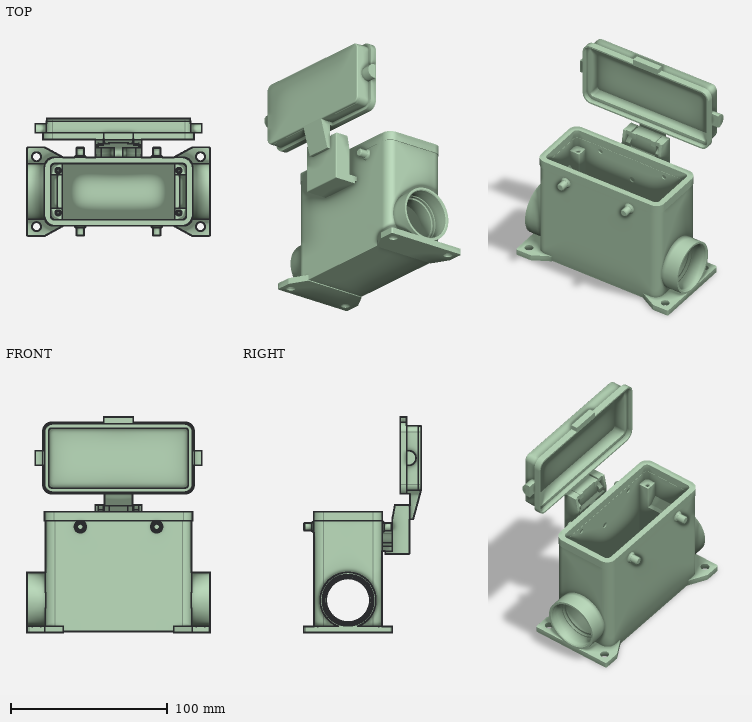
import cadquery as cq
import math

TOTAL_LENGTH = 117.0
TOTAL_DEPTH = 75.2
TOTAL_HEIGHT = 137.8
SIDES = (-1, 1)

RIM_LENGTH = 94.5
RIM_DEPTH = 43.8
RIM_HEIGHT = 5.9
RIM_CORNER = 6.0
RIM_OVERHANG_X = 0.5
RIM_OVERHANG_Y = 0.07
BODY_LENGTH = RIM_LENGTH - 2 * RIM_OVERHANG_X
BODY_DEPTH = RIM_DEPTH - 2 * RIM_OVERHANG_Y
BODY_CORNER = 5.9
BODY_BOTTOM = 0.5
BODY_TOP = 77.3
CAVITY_LENGTH = 86.6
CAVITY_DEPTH = 36.1
CAVITY_CORNER = 2.8
CAVITY_STEP = 0.1
FLOOR_TOP = 4.0

POST_WIDTH = 7.5
POST_DEPTH = 7.3
POST_TOP = 64.7
POST_HOLE_X = 38.6
POST_HOLE_Y = 13.5
POST_HOLE_DIAMETER = 2.2
POST_HOLE_DEPTH = 13.8
POST_COUNTERSINK_DIAMETER = 3.6
POST_EDGE_RADIUS = 0.7
LEDGE_WALL_TOP = 53.6
LEDGE_TOP = 48.9
LEDGE_SLOPE_WIDTH = 4.3

TUBE_HEIGHT = 20.7
TUBE_DIAMETER = 35.5
MOUTH_DIAMETER = 31.7
MOUTH_DEPTH = 10.7
MOUTH_CHAMFER = 0.5
NECK_DIAMETER = 30.3
NECK_DEPTH = MOUTH_DEPTH + 1.9
BORE_DIAMETER = 27.8

FOOT_THICKNESS = 4.0
FOOT_DEPTH = 56.8
FOOT_STRAIGHT = 11.3
FOOT_REACH = 23.3
FOOT_CORNER = 1.1
FOOT_HOLE_X = 52.3
FOOT_HOLE_Y = 22.3
FOOT_HOLE_DIAMETER = 5.6

PIN_X = 24.4
PIN_Z = 67.5
PIN_DIAMETER = 5.0
PIN_END = 28.2
PIN_CHAMFER = 0.5
COLLAR_DIAMETER = 7.5
COLLAR_TIP_DIAMETER = 5.5
COLLAR_LENGTH = 1.2
PIN_SEAT_DIAMETER = 3.3
SEAT_DEPTH = 0.8
RIVET_Z = 55.2
RIVET_SEAT_DIAMETER = 3.9

PEDESTAL_HALF_LENGTH = 14.7
PEDESTAL_BOTTOM = 52.1
PEDESTAL_EDGE_Z = 55.2
SHOULDER_X = 11.0
SHOULDER_Z = 57.5
SHOULDER_RADIUS = 5.9
POST_CAP_HALF_LENGTH = 2.8
POST_CAP_Z = 69.8
BRACKET_LENGTH = 29.9
BRACKET_FRONT = 28.1
BRACKET_BACK = 39.3
BRACKET_BOTTOM = 50.1
BRACKET_TOP = 81.5
BRACKET_TAPER = 1.8
BRACKET_TAPER_Z = 72.2
BRACKET_EDGE_RADIUS = 0.5
LIP_FRONT = 23.7
CHEEK_THICKNESS = 1.9
HINGE_HALF_LENGTH = 9.0
HINGE_GAP = 0.8
HINGE_TOP = 81.0
SLIT_BACK = 37.9
ROOF_FRONT = 30.6
HINGE_FACE = 31.3
LUG_WIDTH = 2.9
LUG_HEIGHT = 4.1
LUG_DEPTH = 0.7
POCKET_BACK = 34.5
POCKET_STEP_Y = 29.6
POCKET_FLOOR_FRONT = 73.0
POCKET_FLOOR_BACK = 76.5
POCKET_TOP = 78.5

LID_BACK = TOTAL_DEPTH - FOOT_DEPTH / 2
LID_LENGTH = 96.5
LID_BOTTOM = 88.6
LID_TOP = 134.3
LID_CORNER = 6.0
LID_FRONT = 33.2
FLANGE_THICKNESS = 4.3
FLANGE_STEP = 2.2
LID_PAN_FRONT = LID_FRONT + FLANGE_THICKNESS
BACK_PLATE_THICKNESS = 1.9
BACK_PLATE_STEP = 0.1
LID_EDGE_RADIUS = 0.7
REBATE_MARGIN = 1.1
REBATE_DEPTH = 3.3
LID_WALL = 3.7
LID_CAVITY_CORNER = 2.0
LID_PLATE = 2.2
TAB_LENGTH = 19.0
EAR_SPAN = 106.3
EAR_RADIUS = 4.7
EAR_Y = 38.7
ARM_BOTTOM = 72.3
ARM_BOTTOM_BACK = 41.6
ARM_FRONT = 39.5
ARM_OVERLAP = 1.4


def rounded_block(length, depth, bottom, top, corner):
    """Upright block centred on the Z axis, with rounded vertical edges."""
    block = cq.Workplane("XY").workplane(offset=bottom).rect(length, depth).extrude(top - bottom)
    return block.edges("|Z").fillet(corner)


def span_block(x_range, y_range, z_range):
    """Plain block given by its limits along each axis."""
    sizes = [high - low for low, high in (x_range, y_range, z_range)]
    corner = (x_range[0], y_range[0], z_range[0])
    return cq.Workplane("XY").box(*sizes, centered=False).translate(corner)


def x_prism(points, half_length):
    """Outline of (Y, Z) points, extruded symmetrically about X = 0."""
    return cq.Workplane("YZ").polyline(points).close().extrude(half_length, both=True)


def both_sides(shape):
    """The shape together with its mirror image in X."""
    return shape.union(shape.mirror("YZ"))


def make_shell():
    body = rounded_block(BODY_LENGTH, BODY_DEPTH, BODY_BOTTOM, BODY_TOP - RIM_HEIGHT, BODY_CORNER)
    rim = rounded_block(RIM_LENGTH, RIM_DEPTH, BODY_TOP - RIM_HEIGHT, BODY_TOP, RIM_CORNER)
    return body.union(rim)


def make_cavity():
    step_z = BODY_TOP - RIM_HEIGHT
    cavity = rounded_block(CAVITY_LENGTH, CAVITY_DEPTH, step_z, BODY_TOP, CAVITY_CORNER)
    lower_cavity = rounded_block(CAVITY_LENGTH - 2 * CAVITY_STEP, CAVITY_DEPTH - 2 * CAVITY_STEP,
                                 FLOOR_TOP, step_z, CAVITY_CORNER - CAVITY_STEP)
    cavity = cavity.union(lower_cavity)
    wall = CAVITY_LENGTH / 2
    inner = wall - POST_WIDTH
    slope_end = wall - LEDGE_SLOPE_WIDTH
    ledge = (cq.Workplane("XZ")
             .polyline([(inner, FLOOR_TOP), (inner, LEDGE_TOP), (slope_end, LEDGE_TOP),
                        (wall, LEDGE_WALL_TOP), (wall, FLOOR_TOP)])
             .close().extrude(CAVITY_DEPTH / 2, both=True))
    cavity = cavity.cut(both_sides(ledge))
    for side in SIDES:
        post = span_block((inner, wall), (CAVITY_DEPTH / 2 - POST_DEPTH, CAVITY_DEPTH / 2),
                          (FLOOR_TOP, POST_TOP))
        post = post.edges("|Z and <X and <Y").fillet(POST_EDGE_RADIUS)
        if side < 0:
            post = post.mirror("XZ")
        cavity = cavity.cut(both_sides(post))
    return cavity


def make_post_holes():
    centres = [(sx * POST_HOLE_X, sy * POST_HOLE_Y) for sx in SIDES for sy in SIDES]
    plane = cq.Workplane("XY").workplane(offset=POST_TOP)
    holes = plane.pushPoints(centres).circle(POST_HOLE_DIAMETER / 2).extrude(-POST_HOLE_DEPTH)
    hole_radius = POST_HOLE_DIAMETER / 2
    sink_radius = POST_COUNTERSINK_DIAMETER / 2
    cone = cq.Solid.makeCone(sink_radius, hole_radius, sink_radius - hole_radius,
                             dir=cq.Vector(0, 0, -1))
    sinks = plane.pushPoints(centres).eachpoint(cone, useLocalCoordinates=True)
    return holes.union(sinks)


def make_tubes():
    start = CAVITY_LENGTH / 2
    tube = (cq.Workplane("YZ", origin=(start, 0, TUBE_HEIGHT))
            .circle(TUBE_DIAMETER / 2).extrude(TOTAL_LENGTH / 2 - start))
    return both_sides(tube)


def make_bores():
    end = TOTAL_LENGTH / 2
    bore_radius = BORE_DIAMETER / 2
    neck_radius = NECK_DIAMETER / 2
    mouth_radius = MOUTH_DIAMETER / 2
    start = CAVITY_LENGTH / 2 - POST_WIDTH
    profile = [
        (start, 0), (start, bore_radius),
        (end - NECK_DEPTH, bore_radius), (end - NECK_DEPTH, neck_radius),
        (end - MOUTH_DEPTH, neck_radius), (end - MOUTH_DEPTH, mouth_radius),
        (end - MOUTH_CHAMFER, mouth_radius), (end, mouth_radius + MOUTH_CHAMFER), (end, 0),
    ]
    bore = (cq.Workplane("XY").polyline(profile).close()
            .revolve(360, (0, 0, 0), (1, 0, 0)).translate((0, 0, TUBE_HEIGHT)))
    return both_sides(bore)


def make_feet():
    end = TOTAL_LENGTH / 2
    edge = FOOT_DEPTH / 2
    wall = BODY_DEPTH / 2
    outline = [
        (end, -edge), (end, edge), (end - FOOT_STRAIGHT, edge), (end - FOOT_REACH, wall),
        (end - FOOT_REACH, -wall), (end - FOOT_STRAIGHT, -edge),
    ]
    foot = cq.Workplane("XY").polyline(outline).close().extrude(FOOT_THICKNESS)
    foot = foot.edges("|Z and >X").fillet(FOOT_CORNER)
    holes = (cq.Workplane("XY").pushPoints([(FOOT_HOLE_X, y * FOOT_HOLE_Y) for y in SIDES])
             .circle(FOOT_HOLE_DIAMETER / 2).extrude(FOOT_THICKNESS))
    return both_sides(foot.cut(holes))


def make_pins():
    wall = BODY_DEPTH / 2
    length = PIN_END - wall
    profile = [
        (0, 0), (COLLAR_DIAMETER / 2, 0), (COLLAR_TIP_DIAMETER / 2, COLLAR_LENGTH),
        (PIN_DIAMETER / 2, COLLAR_LENGTH), (PIN_DIAMETER / 2, length - PIN_CHAMFER),
        (PIN_DIAMETER / 2 - PIN_CHAMFER, length), (0, length),
    ]
    pin = (cq.Workplane("XY").polyline(profile).close().revolve(360, (0, 0, 0), (0, 1, 0))
           .translate((PIN_X, wall, PIN_Z)))
    pins = both_sides(pin)
    return pins.union(pins.mirror("XZ"))


def make_seats():
    """Shallow round recesses in the cavity walls behind the pins and the hinge rivet."""
    pin_points = [(-PIN_X, PIN_Z), (PIN_X, PIN_Z)]
    length = CAVITY_DEPTH / 2 + SEAT_DEPTH
    plane = cq.Workplane("XZ")
    pin_seats = (plane.pushPoints(pin_points).circle(PIN_SEAT_DIAMETER / 2)
                 .extrude(length, both=True))
    rivet_seat = plane.center(0, RIVET_Z).circle(RIVET_SEAT_DIAMETER / 2).extrude(-length)
    return pin_seats.union(rivet_seat)


def make_pedestal():
    steep_x = SHOULDER_X - SHOULDER_RADIUS
    steep_z = SHOULDER_Z + SHOULDER_RADIUS
    arc_drop = SHOULDER_RADIUS / math.sqrt(2)
    arc_middle = (SHOULDER_X - arc_drop, steep_z - arc_drop)
    start = BODY_DEPTH / 2
    half = (cq.Workplane("XZ", origin=(0, start, 0))
            .moveTo(0, PEDESTAL_BOTTOM)
            .lineTo(PEDESTAL_HALF_LENGTH, PEDESTAL_BOTTOM)
            .lineTo(PEDESTAL_HALF_LENGTH, PEDESTAL_EDGE_Z)
            .lineTo(SHOULDER_X, SHOULDER_Z)
            .threePointArc(arc_middle, (steep_x, steep_z))
            .lineTo(POST_CAP_HALF_LENGTH, POST_CAP_Z)
            .lineTo(0, POST_CAP_Z)
            .close().extrude(start - HINGE_FACE))
    return both_sides(half)


def make_bracket():
    outline = [
        (LIP_FRONT, BRACKET_BOTTOM), (BRACKET_BACK, BRACKET_BOTTOM), (BRACKET_BACK, BRACKET_TOP),
        (BRACKET_FRONT + BRACKET_TAPER, BRACKET_TOP), (BRACKET_FRONT, BRACKET_TAPER_Z),
        (BRACKET_FRONT, PEDESTAL_BOTTOM), (LIP_FRONT, PEDESTAL_BOTTOM),
    ]
    bracket = x_prism(outline, BRACKET_LENGTH / 2)
    bracket = bracket.faces(">Y").edges().fillet(BRACKET_EDGE_RADIUS)

    centre = span_block((-HINGE_HALF_LENGTH, HINGE_HALF_LENGTH), (BRACKET_FRONT, HINGE_FACE),
                        (POST_CAP_Z, BRACKET_TOP))
    lug = span_block((HINGE_HALF_LENGTH - LUG_WIDTH, HINGE_HALF_LENGTH),
                     (HINGE_FACE - LUG_DEPTH, HINGE_FACE),
                     (HINGE_TOP - LUG_HEIGHT, HINGE_TOP))
    bracket = bracket.cut(centre.cut(both_sides(lug)))

    pocket_start = HINGE_HALF_LENGTH + HINGE_GAP
    step = span_block((-pocket_start, pocket_start), (BRACKET_FRONT, BRACKET_BACK),
                      (HINGE_TOP, BRACKET_TOP))
    slit = span_block((HINGE_HALF_LENGTH, pocket_start), (BRACKET_FRONT, SLIT_BACK),
                      (POST_CAP_Z, BRACKET_TOP))
    bracket = bracket.cut(step).cut(both_sides(slit))

    pocket_profile = [
        (BRACKET_FRONT, POST_CAP_Z), (POCKET_STEP_Y, POST_CAP_Z),
        (POCKET_STEP_Y, POCKET_FLOOR_FRONT), (POCKET_BACK, POCKET_FLOOR_BACK),
        (POCKET_BACK, POCKET_TOP), (ROOF_FRONT, POCKET_TOP), (ROOF_FRONT, BRACKET_TOP),
        (BRACKET_FRONT, BRACKET_TOP),
    ]
    pocket_end = BRACKET_LENGTH / 2 - CHEEK_THICKNESS
    pocket = (cq.Workplane("YZ", origin=(pocket_start, 0, 0)).polyline(pocket_profile).close()
              .extrude(pocket_end - pocket_start))
    return bracket.cut(both_sides(pocket))


def lid_block(margin, front, back, corner):
    """Block set in from the lid outline by a margin, with rounded edges along Y."""
    width = LID_LENGTH - 2 * margin
    height = LID_TOP - LID_BOTTOM - 2 * margin
    centre_z = (LID_TOP + LID_BOTTOM) / 2
    block = (cq.Workplane("XZ", origin=(0, front, centre_z)).rect(width, height)
             .extrude(front - back))
    return block.edges("|Y").fillet(corner)


def make_lid():
    flange = lid_block(0, LID_FRONT, LID_PAN_FRONT, LID_CORNER)
    plate_front = LID_BACK - BACK_PLATE_THICKNESS
    plate_margin = FLANGE_STEP + BACK_PLATE_STEP
    pan = lid_block(FLANGE_STEP, LID_PAN_FRONT, plate_front, LID_CORNER - FLANGE_STEP)
    plate = lid_block(plate_margin, plate_front, LID_BACK, LID_CORNER - plate_margin)
    pan = pan.union(plate.faces(">Y").edges().fillet(LID_EDGE_RADIUS))
    tab = span_block((-TAB_LENGTH / 2, TAB_LENGTH / 2), (LID_FRONT, LID_PAN_FRONT),
                     (LID_TOP - FLANGE_STEP, TOTAL_HEIGHT))
    ear_z = (LID_TOP + LID_BOTTOM) / 2
    ears = (cq.Workplane("YZ", origin=(0, EAR_Y, ear_z)).circle(EAR_RADIUS)
            .extrude(EAR_SPAN / 2, both=True))
    ears = ears.intersect(span_block((-EAR_SPAN, EAR_SPAN), (LID_PAN_FRONT, LID_BACK),
                                     (LID_BOTTOM, LID_TOP)))
    lid = flange.union(pan).union(tab).union(ears)
    rebate = lid_block(REBATE_MARGIN, LID_FRONT, LID_FRONT + REBATE_DEPTH,
                       LID_CORNER - REBATE_MARGIN)
    cavity = lid_block(LID_WALL, LID_FRONT, LID_BACK - LID_PLATE, LID_CAVITY_CORNER)
    return lid.cut(rebate).cut(cavity)


def make_arm():
    pan_bottom = LID_BOTTOM + FLANGE_STEP
    joint_z = pan_bottom + LID_EDGE_RADIUS + BACK_PLATE_STEP
    step_z = BRACKET_TOP - BRACKET_EDGE_RADIUS
    inside_bracket = BRACKET_BACK - ARM_OVERLAP
    outline = [
        (ARM_BOTTOM_BACK, ARM_BOTTOM), (LID_BACK, joint_z),
        (LID_PAN_FRONT, joint_z), (LID_PAN_FRONT, LID_BOTTOM), (ARM_FRONT, LID_BOTTOM),
        (ARM_FRONT, step_z), (inside_bracket, step_z), (inside_bracket, ARM_BOTTOM),
    ]
    return x_prism(outline, HINGE_HALF_LENGTH)


housing = make_shell().union(make_tubes()).union(make_feet()).union(make_pins())
housing = housing.cut(make_cavity()).cut(make_post_holes()).cut(make_seats()).cut(make_bores())
hinge = make_pedestal().union(make_bracket()).union(make_arm())
result = housing.union(hinge).union(make_lid())